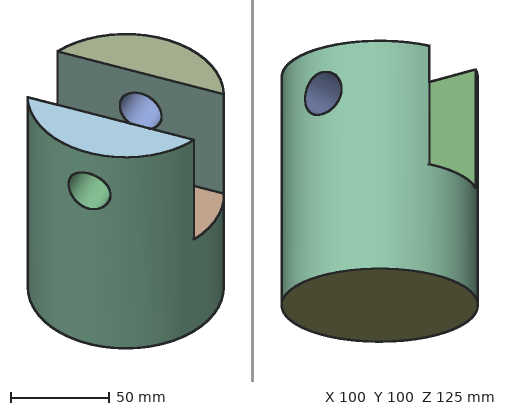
import cadquery as cq

body_diameter = 100
body_height = 125

slot_width = 40
slot_depth = 65
slot_angle = 38.8

pin_diameter = 23.0
pin_drop = 25

clearance = 12.5
cutter_length = body_diameter + 2 * clearance


def make_body():
    return cq.Workplane("XY").circle(body_diameter / 2).extrude(body_height)


def make_slot():
    """Slot cutter running along X, open at the top."""
    return (
        cq.Workplane("XY")
        .workplane(offset=body_height - slot_depth)
        .rect(cutter_length, slot_width)
        .extrude(slot_depth + clearance)
    )


def make_pin_hole():
    """Pin cutter running along Y through both cheeks."""
    return (
        cq.Workplane("XZ")
        .center(0, body_height - pin_drop)
        .circle(pin_diameter / 2)
        .extrude(cutter_length / 2, both=True)
    )


cutters = make_slot().union(make_pin_hole())
result = make_body().cut(cutters.rotate((0, 0, 0), (0, 0, 1), slot_angle))